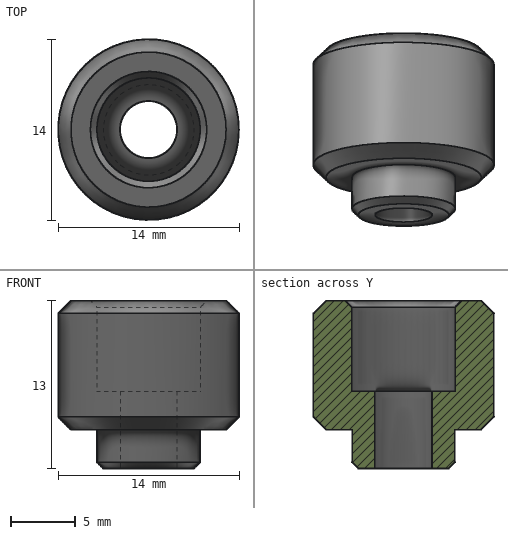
import cadquery as cq

body_diameter = 14.0
body_height = 10.0
body_chamfer = 1.0

spigot_diameter = 8.0
spigot_length = 3.0
spigot_chamfer = 0.5

bore_diameter = 8.0
bore_depth = 7.0
bore_chamfer = 0.5
hole_diameter = 4.4

total_height = spigot_length + body_height


def make_spigot():
    """Spigot with a chamfered lower edge."""
    spigot = cq.Workplane("XY").circle(spigot_diameter / 2).extrude(spigot_length)
    return spigot.faces("<Z").edges().chamfer(spigot_chamfer)


def make_body():
    """Main cylinder, chamfered around both end faces."""
    body = (
        cq.Workplane("XY")
        .workplane(offset=spigot_length)
        .circle(body_diameter / 2)
        .extrude(body_height)
    )
    return body.faces("<Z or >Z").edges().chamfer(body_chamfer)


def cut_stepped_hole(part):
    """Counterbored through hole with a chamfered mouth."""
    part = (
        part.faces(">Z")
        .workplane(origin=(0, 0, total_height))
        .cboreHole(hole_diameter, bore_diameter, bore_depth)
    )
    bore_mouth = cq.selectors.RadiusNthSelector(0)
    return part.faces(">Z").edges(bore_mouth).chamfer(bore_chamfer)


result = cut_stepped_hole(make_spigot().union(make_body()))